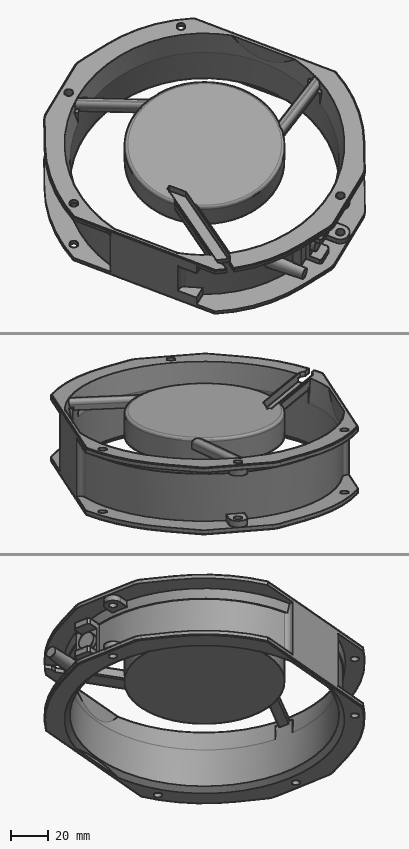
import cadquery as cq
import math

LENGTH = 172.0
WIDTH = 150.0
HEIGHT = 38.5
TOP = HEIGHT / 2
OUTER_RADIUS = LENGTH / 2

FLANGE_THICKNESS = 2.8
FLANGE_TANGENT_ANGLE = 26.2
FLANGE_CORNER_RADIUS = 10.3
FLANGE_EDGE_CHAMFER = 0.5
FLANGE_INNER_FACE = TOP - FLANGE_THICKNESS
HOLE_CIRCLE_RADIUS = 80.8
HOLE_DIAMETER = 4.6
HOLE_ANGLES = (0, 180, 124.6, -124.6)
BOSS_WIDTH = 10.0
BOSS_HEIGHT = 3.6

WALL_RADIUS = 74.3
WALL_CONE_START_Z = 10.7
WALL_CONE_BOTTOM_RADIUS = 74.8
WALL_CONE_TOP_RADIUS = 75.7
BORE_RADIUS = 72.2
BORE_CONE_START_Z = 6.5
BORE_MOUTH_RADIUS = 75.2
BORE_FLAT_HALF_WIDTH = 72.8

WEB_HALF_LENGTH = 20.1
WEB_EXTENSION_END = 31.3
WEB_FILLET = 3.0

HUB_RADIUS = 43.0
HUB_BOTTOM_Z = 4.6
HUB_EDGE_FILLET = 1.7

SPOKE_OFFSET = 28.0
SPOKE_START = 20.6
SPOKE_END = 72.2
SPOKE_BOTTOM_Z = 13.0
ROUND_SPOKE_ANGLES = (84, 204)
ROUND_SPOKE_TOP_Z = 19.0
ROUND_SPOKE_WIDTH = 5.8
ROUND_SPOKE_FILLET = 2.5
CABLE_SPOKE_ANGLE = 324
CABLE_SPOKE_WIDTH = 10.0
CABLE_SPOKE_CHAMFER = 0.7
PAD_WIDTH = 10.5
PAD_TOP_Z = 14.8

CHANNEL_WIDTH = 7.7
CHANNEL_DEPTH = 4.5
CHANNEL_NECK_WIDTH = 3.8
CHANNEL_NECK_START = 74.0
CHANNEL_NECK_FULL = 76.5
CHANNEL_HUB_END_X = -4.8
CHANNEL_HUB_END_Y = -33.5

STUB_Y = -42.7
STUB_START_X = 58.5
STUB_END_X = 80.0
STUB_BASE_RADIUS = 4.1
STUB_TIP_RADIUS = 3.1

HOLDER_START_X = 63.6
HOLDER_END_X = 72.5
HOLDER_FRONT_Y = -31.3
HOLDER_BACK_Y = -15.5
HOLDER_HALF_HEIGHT = 10.7
CORE_END_X = 75.0
CORE_HALF_HEIGHT = 7.0
LUG_END_X = 81.9
LUG_FRONT_Y = -25.8
LUG_CORNER_CHAMFER = 1.0
TERMINAL_END_X = 77.5
TERMINAL_RADIUS = 5.0


def box(x_range, y_range, z_range):
    """Box between two limits on each axis."""
    lows, highs = zip(x_range, y_range, z_range)
    sizes = [high - low for low, high in zip(lows, highs)]
    return cq.Workplane("XY").box(*sizes, centered=False).translate(lows)


def disc(radius, bottom, top):
    """Upright cylinder about the Z axis."""
    return cq.Workplane("XY").workplane(offset=bottom).circle(radius).extrude(top - bottom)


def along_spoke(shape, angle):
    """Turn a shape drawn for a spoke along +X to the spoke's own angle."""
    return shape.rotate((0, 0, 0), (0, 0, 1), angle)


def flange_blank():
    """Plate whose outline is a circle cut flat in Y and squared by tangents in X."""
    tangent = math.radians(FLANGE_TANGENT_ANGLE)
    tangent_x = OUTER_RADIUS * math.cos(tangent)
    tangent_y = OUTER_RADIUS * math.sin(tangent)
    corner_y = OUTER_RADIUS * math.tan(tangent / 2)
    flat_y = WIDTH / 2
    flat_x = math.sqrt(OUTER_RADIUS**2 - flat_y**2)
    middle = (tangent + math.atan2(flat_y, flat_x)) / 2
    arc_x = OUTER_RADIUS * math.cos(middle)
    arc_y = OUTER_RADIUS * math.sin(middle)
    plate = (
        cq.Workplane("XY")
        .moveTo(OUTER_RADIUS, -corner_y)
        .lineTo(OUTER_RADIUS, corner_y)
        .lineTo(tangent_x, tangent_y)
        .threePointArc((arc_x, arc_y), (flat_x, flat_y))
        .lineTo(-flat_x, flat_y)
        .threePointArc((-arc_x, arc_y), (-tangent_x, tangent_y))
        .lineTo(-OUTER_RADIUS, corner_y)
        .lineTo(-OUTER_RADIUS, -corner_y)
        .lineTo(-tangent_x, -tangent_y)
        .threePointArc((-arc_x, -arc_y), (-flat_x, -flat_y))
        .lineTo(flat_x, -flat_y)
        .threePointArc((arc_x, -arc_y), (tangent_x, -tangent_y))
        .close()
        .extrude(FLANGE_THICKNESS)
    )
    near_end = OUTER_RADIUS - FLANGE_EDGE_CHAMFER
    for side in (-1, 1):
        end_zone = cq.selectors.BoxSelector(
            (side * near_end, -LENGTH, -TOP), (side * (OUTER_RADIUS + 1.7), LENGTH, TOP)
        )
        corners = cq.selectors.AndSelector(cq.selectors.ParallelDirSelector(cq.Vector(0, 0, 1)), end_zone)
        plate = plate.edges(corners).fillet(FLANGE_CORNER_RADIUS)
    return plate.faces(">Z").edges().chamfer(FLANGE_EDGE_CHAMFER)


def bosses():
    """Round-nosed bosses that thicken both flanges at the two X-axis holes."""
    shape = cq.Workplane("XY")
    for side in (-1, 1):
        x_range = sorted((side * BORE_RADIUS, side * HOLE_CIRCLE_RADIUS))
        for bottom in (FLANGE_INNER_FACE - BOSS_HEIGHT, -FLANGE_INNER_FACE):
            z_range = (bottom, bottom + BOSS_HEIGHT)
            nose = disc(BOSS_WIDTH / 2, *z_range).translate((side * HOLE_CIRCLE_RADIUS, 0, 0))
            shape = shape.add(box(x_range, (-BOSS_WIDTH / 2, BOSS_WIDTH / 2), z_range).union(nose))
    return shape.combine()


def wall_blank():
    """Solid barrel with its webs, before it is bored."""
    wall = disc(WALL_RADIUS, -FLANGE_INNER_FACE, FLANGE_INNER_FACE)
    web = box(
        (-WEB_HALF_LENGTH, WEB_HALF_LENGTH),
        (-WIDTH / 2, WIDTH / 2),
        (-FLANGE_INNER_FACE, FLANGE_INNER_FACE),
    )
    wall = wall.union(web)
    root_y = math.sqrt(WALL_RADIUS**2 - WEB_HALF_LENGTH**2)
    roots = cq.selectors.BoxSelector(
        (-WEB_HALF_LENGTH - 0.2, -root_y - 0.2, -1.7),
        (WEB_HALF_LENGTH + 0.2, root_y + 0.2, 1.7),
    )
    wall = wall.edges("|Z").edges(roots).fillet(WEB_FILLET)
    cone = (
        cq.Workplane("XY")
        .workplane(offset=WALL_CONE_START_Z)
        .circle(WALL_CONE_BOTTOM_RADIUS)
        .workplane(offset=FLANGE_INNER_FACE - WALL_CONE_START_Z)
        .circle(WALL_CONE_TOP_RADIUS)
        .loft()
    )
    cone = cone.intersect(box((-LENGTH, LENGTH), (-WIDTH / 2, WIDTH / 2), (-TOP, TOP)))
    wall = wall.union(cone)
    for z_range in (
        (-FLANGE_INNER_FACE, -WALL_CONE_START_Z),
        (WALL_CONE_START_Z, FLANGE_INNER_FACE),
    ):
        wall = wall.union(box((0, WEB_EXTENSION_END), (-WIDTH / 2, 0), z_range))
    return wall


def spoke_bar(width, bottom, top, start=SPOKE_START):
    """Straight bar along +X at the spokes' distance from the axis."""
    y_range = (-SPOKE_OFFSET - width / 2, -SPOKE_OFFSET + width / 2)
    return box((start, SPOKE_END), y_range, (bottom, top))


def spoke_pad():
    """Pad under a spoke's outer end that fills the conical mouth out to the bore."""
    return spoke_bar(PAD_WIDTH, BORE_CONE_START_Z, PAD_TOP_Z, start=HUB_RADIUS)


def bore():
    """Straight bore with a long conical mouth on top, a short flare below and flats in Y."""
    half_profile = (
        cq.Workplane("XZ")
        .moveTo(0, -TOP)
        .lineTo(BORE_MOUTH_RADIUS, -TOP)
        .lineTo(BORE_RADIUS, -FLANGE_INNER_FACE)
        .lineTo(BORE_RADIUS, BORE_CONE_START_Z)
        .lineTo(BORE_MOUTH_RADIUS, TOP)
        .lineTo(0, TOP)
        .close()
    )
    flats = box((-LENGTH, LENGTH), (-BORE_FLAT_HALF_WIDTH, BORE_FLAT_HALF_WIDTH), (-TOP, TOP))
    opening = half_profile.revolve(360, (0, 0, 0), (0, 1, 0)).intersect(flats)
    for angle in (*ROUND_SPOKE_ANGLES, CABLE_SPOKE_ANGLE):
        opening = opening.cut(along_spoke(spoke_pad(), angle))
    return opening.union(disc(BORE_RADIUS, -FLANGE_INNER_FACE, TOP))


def round_spoke():
    """Spoke with a rounded top."""
    bar = spoke_bar(ROUND_SPOKE_WIDTH, SPOKE_BOTTOM_Z, ROUND_SPOKE_TOP_Z)
    return bar.faces(">Z").edges("|X").fillet(ROUND_SPOKE_FILLET)


def cable_spoke():
    """Wide spoke that carries the cable channel."""
    bar = spoke_bar(CABLE_SPOKE_WIDTH, SPOKE_BOTTOM_Z, TOP)
    return bar.edges("|X").chamfer(CABLE_SPOKE_CHAMFER)


def cable_channel():
    """Open-topped channel from the hub out through the rim, narrowed at the flange."""
    half = CHANNEL_WIDTH / 2
    neck = CHANNEL_NECK_WIDTH / 2
    channel = (
        cq.Workplane("XY")
        .workplane(offset=TOP - CHANNEL_DEPTH)
        .moveTo(0, half)
        .lineTo(CHANNEL_NECK_START, half)
        .lineTo(CHANNEL_NECK_FULL, neck)
        .lineTo(OUTER_RADIUS, neck)
        .lineTo(OUTER_RADIUS, -neck)
        .lineTo(CHANNEL_NECK_FULL, -neck)
        .lineTo(CHANNEL_NECK_START, -half)
        .lineTo(0, -half)
        .close()
        .extrude(CHANNEL_DEPTH)
        .translate((0, -SPOKE_OFFSET, 0))
    )
    beyond_hub_end = box((CHANNEL_HUB_END_X, LENGTH), (-LENGTH, CHANNEL_HUB_END_Y), (-TOP, TOP))
    return along_spoke(channel, CABLE_SPOKE_ANGLE).intersect(beyond_hub_end)


def cable_stub():
    """Tapered cable end that leaves the barrel along +X."""
    return (
        cq.Workplane("XY", origin=(0, STUB_Y, 0))
        .moveTo(STUB_START_X, 0)
        .lineTo(STUB_START_X, STUB_BASE_RADIUS)
        .lineTo(STUB_END_X, STUB_TIP_RADIUS)
        .lineTo(STUB_END_X, 0)
        .close()
        .revolve(360, (0, 0, 0), (1, 0, 0))
    )


def terminal_holder():
    """Block on the barrel with a core, a round terminal and two outward lugs."""
    full_height = (-HOLDER_HALF_HEIGHT, HOLDER_HALF_HEIGHT)
    holder = box((HOLDER_START_X, HOLDER_END_X), (HOLDER_FRONT_Y, HOLDER_BACK_Y), full_height)
    lugs = box((HOLDER_START_X, LUG_END_X), (LUG_FRONT_Y, HOLDER_BACK_Y), full_height)
    lugs = lugs.edges("|Z and >X").chamfer(LUG_CORNER_CHAMFER)
    gap = box(
        (CORE_END_X, LUG_END_X),
        (LUG_FRONT_Y, HOLDER_BACK_Y),
        (-CORE_HALF_HEIGHT, CORE_HALF_HEIGHT),
    )
    middle_y = (LUG_FRONT_Y + HOLDER_BACK_Y) / 2
    terminal = (
        cq.Workplane("YZ", origin=(HOLDER_START_X, middle_y, 0))
        .circle(TERMINAL_RADIUS)
        .extrude(TERMINAL_END_X - HOLDER_START_X)
    )
    return holder.union(lugs.cut(gap)).union(terminal)


top_flange = flange_blank().translate((0, 0, FLANGE_INNER_FACE))
bottom_flange = top_flange.mirror("XY")
frame = wall_blank().union(top_flange).union(bottom_flange).union(bosses())
frame = frame.union(cable_stub()).union(terminal_holder())
for hole_angle in HOLE_ANGLES:
    hole = disc(HOLE_DIAMETER / 2, -TOP, TOP).translate((HOLE_CIRCLE_RADIUS, 0, 0))
    frame = frame.cut(hole.rotate((0, 0, 0), (0, 0, 1), hole_angle))

hub = disc(HUB_RADIUS, HUB_BOTTOM_Z, TOP).faces(">Z").edges().fillet(HUB_EDGE_FILLET)
motor_mount = hub.union(along_spoke(cable_spoke(), CABLE_SPOKE_ANGLE))
for spoke_angle in ROUND_SPOKE_ANGLES:
    motor_mount = motor_mount.union(along_spoke(round_spoke(), spoke_angle))

result = frame.cut(bore().cut(motor_mount)).cut(cable_channel())